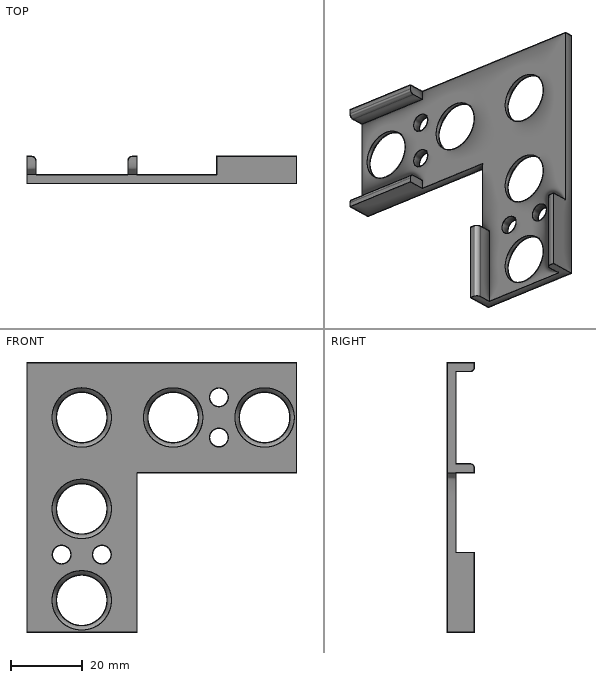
import cadquery as cq

leg_length = 74.93
rib_width = 2.54
channel_width = 25.527
leg_width = channel_width + 2 * rib_width
plate_thickness = 2.54

rib_length = 22.225
rib_height = 5.08
rib_round = 1.27

hole_inset = 15.24
hole_pitch = 25.4
hole_diameter = 13.97
countersink_diameter = 16.51
countersink_depth = (countersink_diameter - hole_diameter) / 2
leg_hole_count = 3

pin_hole_diameter = 5.11
pin_hole_spacing = 11.176

corner_hole_height = leg_length - hole_inset
pin_hole_distance = (leg_hole_count - 2) * hole_pitch + hole_pitch / 2
back_direction = cq.Vector(0, 1, 0)


def make_plate():
    """L-shaped plate with its outer corner at X = 0, Z = leg_length."""
    outline = [
        (0, 0),
        (0, leg_length),
        (leg_length, leg_length),
        (leg_length, leg_length - leg_width),
        (leg_width, leg_length - leg_width),
        (leg_width, 0),
    ]
    return cq.Workplane("XZ").polyline(outline).close().extrude(-plate_thickness)


def make_down_leg_ribs():
    """Two ribs at the lower end of the vertical leg, rounded on the edges facing each other."""
    rib_depth = plate_thickness + rib_height
    rib = cq.Workplane("XY").box(rib_width, rib_depth, rib_length, centered=False)
    outer_rib = rib.edges(">X and >Y").fillet(rib_round)
    inner_rib = rib.edges("<X and >Y").fillet(rib_round)
    inner_offset = leg_width - rib_width
    return outer_rib.union(inner_rib.translate((inner_offset, 0, 0)))


def to_side_leg(body):
    """Mirror a body of the vertical leg across the L's diagonal onto the horizontal leg."""
    diagonal_normal = cq.Vector(1, 0, 1)
    return body.mirror(diagonal_normal, (0, 0, leg_length))


def make_cylinder_cutter(diameter, centre):
    """Round bore through the plate, starting from a centre on the front face."""
    return cq.Workplane(cq.Solid.makeCylinder(diameter / 2, plate_thickness, centre, back_direction))


def make_hole_cutter(distance):
    """Countersunk hole on the vertical leg, at a distance below the corner hole."""
    centre = cq.Vector(hole_inset, 0, corner_hole_height - distance)
    countersink = cq.Solid.makeCone(
        countersink_diameter / 2,
        hole_diameter / 2,
        countersink_depth,
        centre,
        back_direction,
    )
    return make_cylinder_cutter(hole_diameter, centre).union(cq.Workplane(countersink))


def make_pin_hole_cutter(side):
    """Small hole on the vertical leg, on one side (-1 or 1) of the large hole line."""
    centre = cq.Vector(
        hole_inset + side * pin_hole_spacing / 2,
        0,
        corner_hole_height - pin_hole_distance,
    )
    return make_cylinder_cutter(pin_hole_diameter, centre)


ribs = make_down_leg_ribs()
result = make_plate().union(ribs).union(to_side_leg(ribs))

cutters = [make_hole_cutter(index * hole_pitch) for index in range(leg_hole_count)]
cutters += [make_pin_hole_cutter(side) for side in (-1, 1)]
for cutter in cutters:
    result = result.cut(cutter).cut(to_side_leg(cutter))